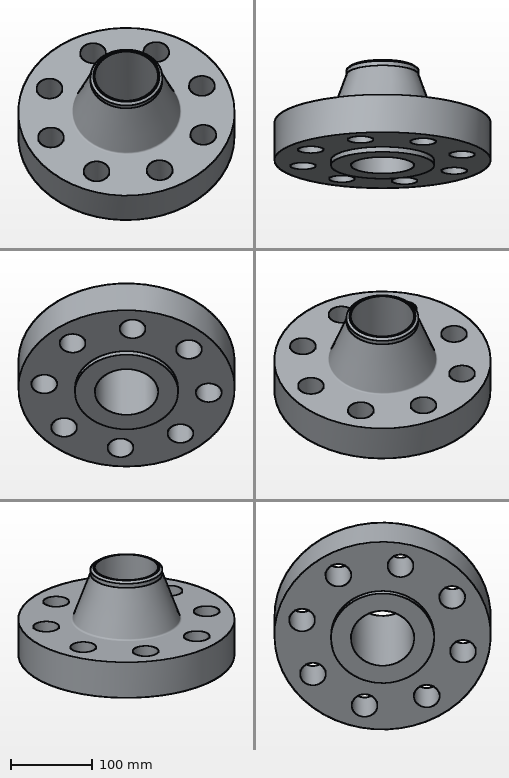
import cadquery as cq


flange_diameter = 266.5
flange_thickness = 48.0
raised_face_diameter = 127.2
raised_face_height = 6.5

total_height = 123.7
bore_diameter = 77.9
neck_diameter = 88.8
neck_height = 8.3
hub_base_diameter = 133.3
hub_fillet_radius = 2.7
weld_land = 1.9
bevel_height = 2.7

bolt_count = 8
bolt_hole_diameter = 31.7
bolt_circle_diameter = 203.2

flange_top = raised_face_height + flange_thickness
neck_bottom = total_height - neck_height
bevel_bottom = total_height - bevel_height
weld_land_radius = bore_diameter / 2 + weld_land


def turned_body():
    """Solid of revolution: raised face, flange plate, conical hub, neck and weld bevel."""
    outline = [
        (0, 0),
        (raised_face_diameter / 2, 0),
        (raised_face_diameter / 2, raised_face_height),
        (flange_diameter / 2, raised_face_height),
        (flange_diameter / 2, flange_top),
        (hub_base_diameter / 2, flange_top),
        (neck_diameter / 2, neck_bottom),
        (neck_diameter / 2, bevel_bottom),
        (weld_land_radius, total_height),
        (0, total_height),
    ]
    return cq.Workplane("XZ").polyline(outline).close().revolve(360, (0, 0, 0), (0, 1, 0))


def fillet_hub_foot(body):
    """Round the inner corner where the hub cone meets the flange."""
    second_largest = cq.selectors.RadiusNthSelector(-2)
    return body.edges("%CIRCLE").edges(second_largest).fillet(hub_fillet_radius)


def bore():
    """Straight bore through the whole height."""
    return cq.Workplane("XY").circle(bore_diameter / 2).extrude(total_height)


def bolt_holes():
    """Evenly spaced through holes on the bolt circle, starting on +X."""
    return (
        cq.Workplane("XY")
        .polarArray(bolt_circle_diameter / 2, 0, 360, bolt_count)
        .circle(bolt_hole_diameter / 2)
        .extrude(flange_top)
    )


result = fillet_hub_foot(turned_body()).cut(bore()).cut(bolt_holes())